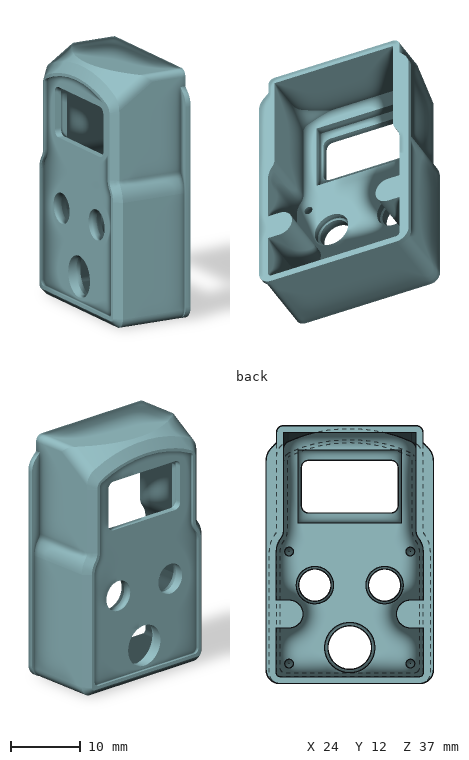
import cadquery as cq
import math


HEIGHT = 37.0
DEPTH = 12.0
UPPER_HALF_WIDTH = 10.5
LOWER_HALF_WIDTH = 11.55
SHOULDER_BASE = 18.95
SHOULDER_OUTER_RADIUS = 4.0
SHOULDER_INNER_RADIUS = 1.0
BASE_CORNER_RADIUS = 1.55
TOP_CORNER_RADIUS = 1.0
FRONT_CHAMFER = 1.05

SLOPE_APEX = 36.0
SLOPE_RADIUS = 25.9
SLOPE_CORNER_RADIUS = 2.0
SLOPE_ANGLE = math.radians(33)

PANEL_RIM = 0.5
PANEL_DEPTH = 0.48
PANEL_BASE_CORNER_RADIUS = 0.75
PANEL_APEX = 34.55
PANEL_ARCH_RADIUS = 20.35
PANEL_TOP_CORNER_RADIUS = 0.6

FLANGE_WIDTH = 24.0
FLANGE_HALF_WIDTH = FLANGE_WIDTH / 2
FLANGE_THICKNESS = 0.8
FLANGE_BASE_RADIUS = 2.0
FLANGE_TOP_RADIUS = 2.6
FLANGE_TOP_BEND = 31.95

WALL = 1.0
FRONT_WALL = 2.3
CAVITY_START = PANEL_DEPTH + FRONT_WALL

WINDOW_WIDTH = 13.85
WINDOW_HEIGHT = 7.5
WINDOW_BASE = 24.5
WINDOW_CORNER_RADIUS = 1.0
WINDOW_LIP = 1.0
SEAT_SIDE_CLEARANCE = 0.48
SEAT_END_CLEARANCE = 1.48

BUTTONS = [
    (-5.0, 14.15, 4.6, 5.35),
    (5.0, 14.15, 4.6, 5.35),
    (0, 5.18, 6.2, 7.2),
]
BUTTON_LIP = 1.35

SCREW_DIAMETER = 1.25
SCREW_X = 8.7
SCREW_HEIGHTS = (2.9, 18.95)
SCREW_TIP_LENGTH = 0.37
SCREW_TIP_BREAKOUT = 0.007

BOSS_X = 8.7
BOSS_Z = 10.0
BOSS_RADIUS = 2.0

REACH = 2 * HEIGHT


def plane_at(y):
    """Sketch plane facing the front, with local axes along X and Z."""
    return cq.Workplane("XZ", origin=(0, y, 0))


def prism(sketch, length):
    """Extrude a front-facing sketch towards the back."""
    return sketch.extrude(-length)


def body_outline(y):
    """Outline of the body: wide base, S-shaped shoulders and narrower square top."""
    step = LOWER_HALF_WIDTH - UPPER_HALF_WIDTH
    radii = SHOULDER_OUTER_RADIUS + SHOULDER_INNER_RADIUS
    turn = math.acos(1 - step / radii)

    def outer_arc(angle):
        x = LOWER_HALF_WIDTH - SHOULDER_OUTER_RADIUS * (1 - math.cos(angle))
        return x, SHOULDER_BASE + SHOULDER_OUTER_RADIUS * math.sin(angle)

    shoulder_top = SHOULDER_BASE + radii * math.sin(turn)

    def inner_arc(angle):
        x = UPPER_HALF_WIDTH + SHOULDER_INNER_RADIUS * (1 - math.cos(angle))
        return x, shoulder_top - SHOULDER_INNER_RADIUS * math.sin(angle)

    def mirrored(point):
        return -point[0], point[1]

    base_half = LOWER_HALF_WIDTH - BASE_CORNER_RADIUS
    corner_mid = BASE_CORNER_RADIUS * (1 - math.sqrt(0.5))
    base_mid = (LOWER_HALF_WIDTH - corner_mid, corner_mid)
    return (
        plane_at(y)
        .moveTo(-base_half, 0)
        .lineTo(base_half, 0)
        .threePointArc(base_mid, (LOWER_HALF_WIDTH, BASE_CORNER_RADIUS))
        .lineTo(LOWER_HALF_WIDTH, SHOULDER_BASE)
        .threePointArc(outer_arc(turn / 2), outer_arc(turn))
        .threePointArc(inner_arc(turn / 2), inner_arc(0))
        .lineTo(UPPER_HALF_WIDTH, HEIGHT)
        .lineTo(-UPPER_HALF_WIDTH, HEIGHT)
        .lineTo(*mirrored(inner_arc(0)))
        .threePointArc(mirrored(inner_arc(turn / 2)), mirrored(outer_arc(turn)))
        .threePointArc(mirrored(outer_arc(turn / 2)), (-LOWER_HALF_WIDTH, SHOULDER_BASE))
        .lineTo(-LOWER_HALF_WIDTH, BASE_CORNER_RADIUS)
        .threePointArc(mirrored(base_mid), (-base_half, 0))
        .close()
    )


def above_arch(plane, half_width, apex, radius, corner_radius):
    """Region above an arch that runs into straight sides through round corners."""
    center = apex - radius
    corner_x = half_width - corner_radius
    lean = math.asin(corner_x / (radius - corner_radius))
    corner_y = center + (radius - corner_radius) * math.cos(lean)
    corner_mid_angle = (lean + math.pi / 2) / 2
    corner_mid_x = corner_x + corner_radius * math.sin(corner_mid_angle)
    corner_mid_y = corner_y + corner_radius * math.cos(corner_mid_angle)
    tangent_x = radius * math.sin(lean)
    tangent_y = center + radius * math.cos(lean)
    return (
        plane.moveTo(-FLANGE_HALF_WIDTH, corner_y)
        .lineTo(-half_width, corner_y)
        .threePointArc((-corner_mid_x, corner_mid_y), (-tangent_x, tangent_y))
        .threePointArc((0, apex), (tangent_x, tangent_y))
        .threePointArc((corner_mid_x, corner_mid_y), (half_width, corner_y))
        .lineTo(FLANGE_HALF_WIDTH, corner_y)
        .lineTo(FLANGE_HALF_WIDTH, REACH)
        .lineTo(-FLANGE_HALF_WIDTH, REACH)
        .close()
    )


def slope_cutter(inset):
    """Everything above the sloping arch, moved inwards by the inset at right angles to the slope."""
    against_slope = (0, -math.cos(SLOPE_ANGLE), -math.sin(SLOPE_ANGLE))
    plane = cq.Workplane(cq.Plane(origin=(0, 0, SLOPE_APEX), xDir=(1, 0, 0), normal=against_slope))
    region = above_arch(
        plane, UPPER_HALF_WIDTH - inset, -inset, SLOPE_RADIUS - inset, SLOPE_CORNER_RADIUS - inset
    )
    return region.extrude(REACH, both=True)


def body():
    block = prism(body_outline(0), DEPTH).edges("|Y").edges(">Z").fillet(TOP_CORNER_RADIUS)
    return block.cut(slope_cutter(0)).faces("<Y").edges().chamfer(FRONT_CHAMFER)


def flange():
    """Back plate with rounded base corners and cut-off top corners; its middle is cut away later."""
    bend = FLANGE_TOP_RADIUS * math.sqrt(0.5)
    arc_end_x = FLANGE_HALF_WIDTH - (FLANGE_TOP_RADIUS - bend)
    arc_end_z = FLANGE_TOP_BEND + bend
    corner_z = arc_end_z - (FLANGE_HALF_WIDTH - arc_end_x)
    top_half = UPPER_HALF_WIDTH - WALL / 2
    top = arc_end_z + arc_end_x - top_half
    plate = (
        plane_at(DEPTH - FLANGE_THICKNESS)
        .moveTo(-FLANGE_HALF_WIDTH, 0)
        .lineTo(FLANGE_HALF_WIDTH, 0)
        .lineTo(FLANGE_HALF_WIDTH, corner_z)
        .lineTo(top_half, top)
        .lineTo(-top_half, top)
        .lineTo(-FLANGE_HALF_WIDTH, corner_z)
        .close()
    )
    return (
        prism(plate, FLANGE_THICKNESS)
        .edges("|Y and (<X or >X)")
        .edges(">Z")
        .fillet(FLANGE_TOP_RADIUS)
        .edges("|Y")
        .edges("<Z")
        .fillet(FLANGE_BASE_RADIUS)
    )


def cavity():
    outline = body_outline(CAVITY_START).offset2D(-WALL)
    return prism(outline, DEPTH - CAVITY_START).cut(slope_cutter(WALL))


def side_boss(side):
    """Boss with a round nose towards the middle, joined to one side wall (side is -1 or 1)."""
    length = DEPTH - CAVITY_START
    plane = plane_at(CAVITY_START).center(side * BOSS_X, BOSS_Z)
    nose = prism(plane.circle(BOSS_RADIUS), length)
    root = LOWER_HALF_WIDTH - WALL / 2 - BOSS_X
    web = prism(plane.center(side * root / 2, 0).rect(root, 2 * BOSS_RADIUS), length)
    return nose.union(web)


def front_panel():
    inset = FRONT_CHAMFER + PANEL_RIM
    outline = body_outline(0).offset2D(-inset)
    panel = prism(outline, PANEL_DEPTH)
    arch = above_arch(
        plane_at(0), UPPER_HALF_WIDTH - inset, PANEL_APEX, PANEL_ARCH_RADIUS, PANEL_TOP_CORNER_RADIUS
    )
    panel = panel.cut(prism(arch, PANEL_DEPTH))
    return panel.edges("|Y").edges("<Z").fillet(PANEL_BASE_CORNER_RADIUS)


def rectangle_block(y, width, height, depth):
    middle = WINDOW_BASE + WINDOW_HEIGHT / 2
    return prism(plane_at(y).center(0, middle).rect(width, height), depth)


def window():
    opening = rectangle_block(0, WINDOW_WIDTH, WINDOW_HEIGHT, CAVITY_START)
    opening = opening.edges("|Y").fillet(WINDOW_CORNER_RADIUS)
    seat = rectangle_block(
        PANEL_DEPTH + WINDOW_LIP,
        WINDOW_WIDTH + 2 * SEAT_SIDE_CLEARANCE,
        WINDOW_HEIGHT + 2 * SEAT_END_CLEARANCE,
        FRONT_WALL - WINDOW_LIP,
    )
    return opening.union(seat)


def button(x, z, diameter, counterbore):
    hole = prism(plane_at(0).center(x, z).circle(diameter / 2), CAVITY_START)
    seat = prism(
        plane_at(PANEL_DEPTH + BUTTON_LIP).center(x, z).circle(counterbore / 2), FRONT_WALL - BUTTON_LIP
    )
    return hole.union(seat)


def screw_hole(x, z):
    """Drilled hole with a conical end, as a half profile turned about its axis."""
    radius = SCREW_DIAMETER / 2
    tip = PANEL_DEPTH - SCREW_TIP_BREAKOUT
    return (
        cq.Workplane("XY", origin=(x, 0, z))
        .moveTo(0, tip)
        .lineTo(radius, tip + SCREW_TIP_LENGTH)
        .lineTo(radius, CAVITY_START)
        .lineTo(0, CAVITY_START)
        .close()
        .revolve(360, (0, 0, 0), (0, 1, 0))
    )


result = body().union(flange()).cut(cavity()).cut(front_panel()).cut(window())
for boss_side in (-1, 1):
    result = result.union(side_boss(boss_side))
for placement in BUTTONS:
    result = result.cut(button(*placement))
for screw_z in SCREW_HEIGHTS:
    for screw_x in (-SCREW_X, SCREW_X):
        result = result.cut(screw_hole(screw_x, screw_z))